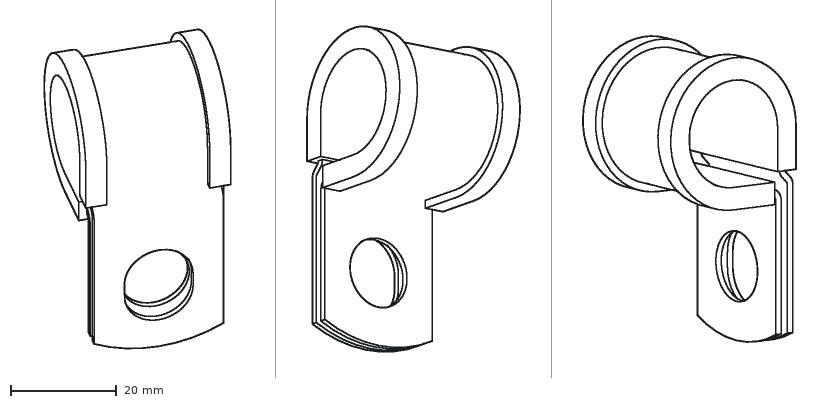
import cadquery as cq
import math

outer_radius = 14.6
core_radius = 13.05
inner_radius = 10.3
loop_length = 28.4
flange_width = 4.15
core_length = loop_length - 2 * flange_width
vertical_leg_end = -8.3
horizontal_leg_end = 9.65

strap_thickness = 1.25
strap_width = 25.4
strap_radius = core_radius - strap_thickness / 2

overall_height = 57.45
tab_bottom = outer_radius - overall_height
tab_end_sagitta = 3.0
hole_radius = 6.7
hole_height = -28.6
slot_offset = 1.3
lower_bend_radius = 1.95
right_tab_outer_x = 14.95
right_tab_x = right_tab_outer_x - strap_thickness / 2
joggle_height = 3.1
joggle_angle = 45


def extrude_centered(profile, length):
    """Extrude an XZ profile symmetrically about the plane Y = 0."""
    return profile.extrude(length / 2, both=True)


def loop(radius, length):
    """Three-quarter ring with a straight leg at each end."""
    diagonal = math.sqrt(0.5)
    profile = (
        cq.Workplane("XZ")
        .moveTo(horizontal_leg_end, -radius)
        .lineTo(0, -radius)
        .threePointArc((-radius * diagonal, radius * diagonal), (radius, 0))
        .lineTo(radius, vertical_leg_end)
        .lineTo(inner_radius, vertical_leg_end)
        .lineTo(inner_radius, 0)
        .threePointArc((-inner_radius * diagonal, inner_radius * diagonal), (0, -inner_radius))
        .lineTo(horizontal_leg_end, -inner_radius)
        .close()
    )
    return extrude_centered(profile, length)


def lower_tab():
    """Tab leaving the horizontal leg through a quarter bend."""
    r_out = lower_bend_radius + strap_thickness / 2
    r_in = lower_bend_radius - strap_thickness / 2
    x = horizontal_leg_end
    bend_z = -strap_radius - lower_bend_radius
    diagonal = math.sqrt(0.5)
    profile = (
        cq.Workplane("XZ")
        .moveTo(x, bend_z + r_out)
        .threePointArc((x + r_out * diagonal, bend_z + r_out * diagonal), (x + r_out, bend_z))
        .lineTo(x + r_out, tab_bottom)
        .lineTo(x + r_in, tab_bottom)
        .lineTo(x + r_in, bend_z)
        .threePointArc((x + r_in * diagonal, bend_z + r_in * diagonal), (x, bend_z + r_in))
        .close()
    )
    return extrude_centered(profile, strap_width)


def right_tab():
    """Tab leaving the vertical leg through an S-shaped joggle: two equal arcs joined by a slope."""
    shift = right_tab_x - strap_radius
    angle = math.radians(joggle_angle)
    span = joggle_height * math.sin(angle) - shift * math.cos(angle)
    radius = span / (2 * (1 - math.cos(angle)))
    joggle_end = vertical_leg_end - joggle_height
    upper_center_x = strap_radius + radius
    lower_center_x = right_tab_x - radius

    def upper_point(r, a):
        return (upper_center_x - r * math.cos(a), vertical_leg_end - r * math.sin(a))

    def lower_point(r, a):
        return (lower_center_x + r * math.cos(a), joggle_end + r * math.sin(a))

    r_in = radius - strap_thickness / 2
    r_out = radius + strap_thickness / 2
    profile = (
        cq.Workplane("XZ")
        .moveTo(*upper_point(r_in, 0))
        .threePointArc(upper_point(r_in, angle / 2), upper_point(r_in, angle))
        .lineTo(*lower_point(r_out, angle))
        .threePointArc(lower_point(r_out, angle / 2), lower_point(r_out, 0))
        .lineTo(right_tab_x + strap_thickness / 2, tab_bottom)
        .lineTo(right_tab_x - strap_thickness / 2, tab_bottom)
        .lineTo(*lower_point(r_in, 0))
        .threePointArc(lower_point(r_in, angle / 2), lower_point(r_in, angle))
        .lineTo(*upper_point(r_out, angle))
        .threePointArc(upper_point(r_out, angle / 2), upper_point(r_out, 0))
        .close()
    )
    return extrude_centered(profile, strap_width)


def tab_blank():
    """Prism along X giving the tabs their rounded end."""
    half_width = strap_width / 2
    corner_z = tab_bottom + tab_end_sagitta
    return (
        cq.Workplane("YZ")
        .moveTo(-half_width, 0)
        .lineTo(-half_width, corner_z)
        .threePointArc((0, tab_bottom), (half_width, corner_z))
        .lineTo(half_width, 0)
        .close()
        .extrude(2 * outer_radius)
    )


def bolt_hole():
    """Round hole cutter for the lower tab."""
    return cq.Workplane("YZ").center(0, hole_height).circle(hole_radius).extrude(2 * outer_radius)


def bolt_slot():
    """Vertical slot cutter for the right tab, as wide as the round hole."""
    slot_length = 2 * (hole_radius + slot_offset)
    return (
        cq.Workplane("YZ")
        .center(0, hole_height)
        .slot2D(slot_length, 2 * hole_radius, 90)
        .extrude(2 * outer_radius)
    )


body = loop(core_radius, core_length)
flange_offset = (loop_length - flange_width) / 2
for side in (-1, 1):
    flange = loop(outer_radius, flange_width).translate((0, side * flange_offset, 0))
    body = body.union(flange)

pierced_lower_tab = lower_tab().cut(bolt_hole())
pierced_right_tab = right_tab().cut(bolt_slot())
tabs = pierced_lower_tab.union(pierced_right_tab).intersect(tab_blank())
result = body.union(tabs)